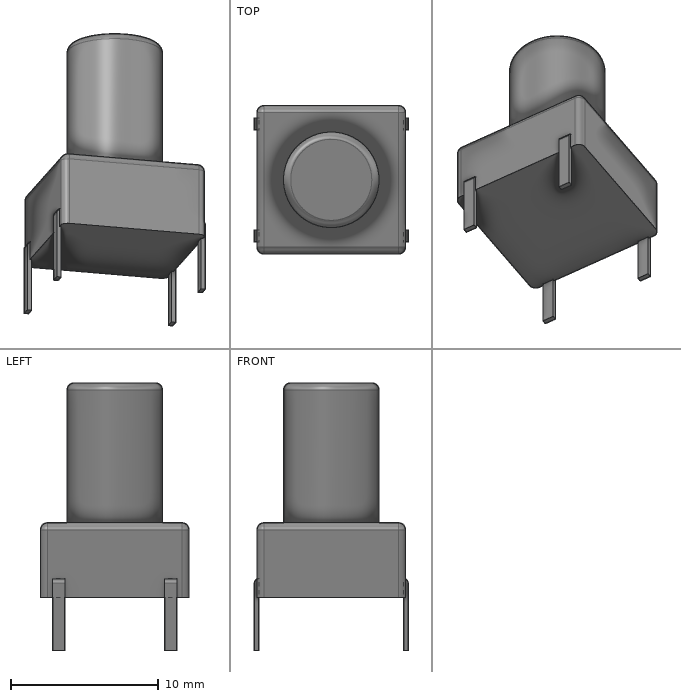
import cadquery as cq

total_height = 18.2
pin_drop = 3.6
housing_height = 5.1
cap_height = total_height - pin_drop - housing_height

housing_side = 10.1
cap_diameter = 6.5
edge_radius = 0.5

span_over_pins = 10.46
pin_thickness = 0.31
pin_width = 0.82
pin_pitch = 7.6
pin_rise = 1.3


def make_pin(side, y_center):
    """One flat pin whose outer top corner is a quarter circle as deep as the pin is thick."""
    outer_x = span_over_pins / 2
    inner_x = outer_x - pin_thickness
    profile = (
        cq.Workplane("XZ", origin=(0, y_center, 0))
        .moveTo(side * inner_x, -pin_drop)
        .lineTo(side * outer_x, -pin_drop)
        .lineTo(side * outer_x, pin_rise - pin_thickness)
        .radiusArc((side * inner_x, pin_rise), -side * pin_thickness)
        .close()
    )
    return profile.extrude(pin_width / 2, both=True)


def make_housing(pins):
    """Square block, rounded on its top and upright edges, with recesses that fit the pins."""
    block = (
        cq.Workplane("XY")
        .box(housing_side, housing_side, housing_height, centered=(True, True, False))
        .edges("|Z or >Z")
        .fillet(edge_radius)
    )
    for pin in pins:
        block = block.cut(pin)
    return block


def make_cap():
    """Round push cap standing on the housing, with a rounded top rim."""
    return (
        cq.Workplane("XY", origin=(0, 0, housing_height))
        .circle(cap_diameter / 2)
        .extrude(cap_height)
        .faces(">Z")
        .edges()
        .fillet(edge_radius)
    )


pins = []
for side in (-1, 1):
    for y_center in (-pin_pitch / 2, pin_pitch / 2):
        pins.append(make_pin(side, y_center))

housing = make_housing(pins)
cap = make_cap()

result = cq.Compound.makeCompound([housing.val(), cap.val(), *[pin.val() for pin in pins]])